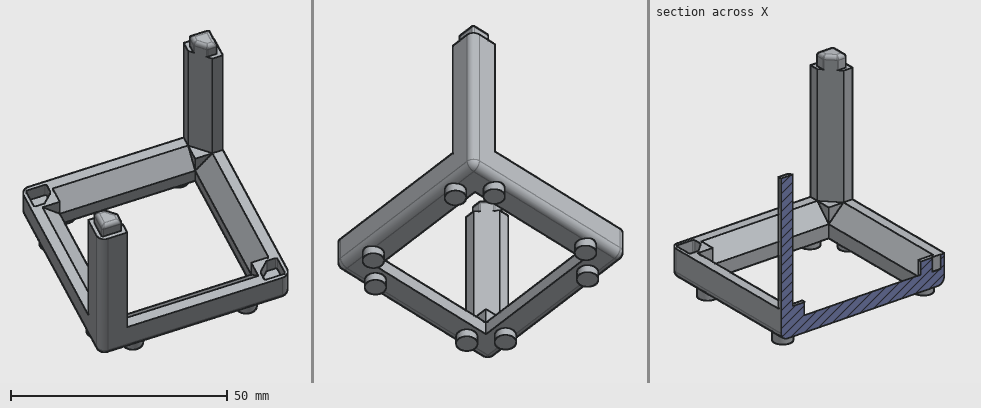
import cadquery as cq

outer_side = 47.8
total_height = 48.0
peg_height = 2.2
frame_height = 8.0
plug_height = 3.65
outer_radius = 2.0
bar_width = 6.95
top_rim = 2.65

plug_inset = 1.0
plug_side = 5.0
plug_top_radius = 1.0
plug_edge_radius = 0.4
socket_clearance = 0.1

peg_diameter = 5.0
peg_near = 3.35
peg_far = 9.7

half_side = outer_side / 2
opening = outer_side - 2 * bar_width
bevel_drop = bar_width - top_rim
frame_top = peg_height + frame_height
post_top = total_height - plug_height
post_height = post_top - frame_top
diagonal_sum = bar_width + top_rim

post_corners = [(-1, 1), (1, -1)]
socket_corners = [(-1, -1), (1, 1)]


def clipped_square(corner, start, end, z, height):
    """Prism on a square from start to end off the outer corner, cut by the slanted inner face."""
    clip = diagonal_sum - end
    outline = [(start, start), (end, start), (end, clip), (clip, end), (start, end)]
    sign_x, sign_y = corner
    points = [(sign_x * (half_side - x), sign_y * (half_side - y)) for x, y in outline]
    return cq.Workplane("XY").workplane(offset=z).polyline(points).close().extrude(height)


def make_frame():
    """Square ring with rounded outside and a bevel along the inner top edge of each bar."""
    block = cq.Workplane("XY").box(outer_side, outer_side, frame_height, centered=(True, True, False))
    block = block.edges("|Z or <Z").fillet(outer_radius).translate((0, 0, peg_height))
    frame = block.cut(cq.Workplane("XY").rect(opening, opening).extrude(total_height))

    inner_face = half_side - bar_width
    bevel = (
        cq.Workplane("YZ")
        .polyline([
            (inner_face, frame_top),
            (half_side - top_rim, frame_top),
            (inner_face, frame_top - bevel_drop),
        ])
        .close()
        .extrude(opening / 2, both=True)
    )
    for quarter in range(4):
        frame = frame.cut(bevel.rotate((0, 0, 0), (0, 0, 1), 90 * quarter))
    return frame


def make_post(corner):
    """Five-sided post with its outer upright edge rounded like the frame."""
    sign_x, sign_y = corner
    post = clipped_square(corner, 0, bar_width, frame_top, post_height)
    outer_edge = cq.selectors.NearestToPointSelector(
        (sign_x * half_side, sign_y * half_side, frame_top + post_height / 2)
    )
    return post.edges(outer_edge).fillet(outer_radius)


def make_plug(corner):
    """Plug on a post, flush with its slanted face, rounded over the top and then down the edges."""
    plug = clipped_square(corner, plug_inset, plug_inset + plug_side, post_top, plug_height)
    plug = plug.faces(">Z").edges().fillet(plug_top_radius)
    return plug.edges("|Z").fillet(plug_edge_radius)


def make_socket(corner):
    """Cavity that takes the plug of another frame."""
    start = plug_inset - socket_clearance
    end = plug_inset + plug_side + socket_clearance
    depth = plug_height + socket_clearance
    return clipped_square(corner, start, end, frame_top - depth, depth).edges("|Z").fillet(plug_edge_radius)


def make_pegs():
    """Two pegs under each corner, one on each adjoining bar, rooted inside the rounded rim."""
    near = half_side - peg_near
    far = half_side - peg_far
    places = []
    for sign_x in (-1, 1):
        for sign_y in (-1, 1):
            places.append((sign_x * near, sign_y * far))
            places.append((sign_x * far, sign_y * near))
    return cq.Workplane("XY").pushPoints(places).circle(peg_diameter / 2).extrude(peg_height + outer_radius)


result = make_frame().union(make_pegs())
for post_corner in post_corners:
    result = result.union(make_post(post_corner)).union(make_plug(post_corner))
for socket_corner in socket_corners:
    result = result.cut(make_socket(socket_corner))